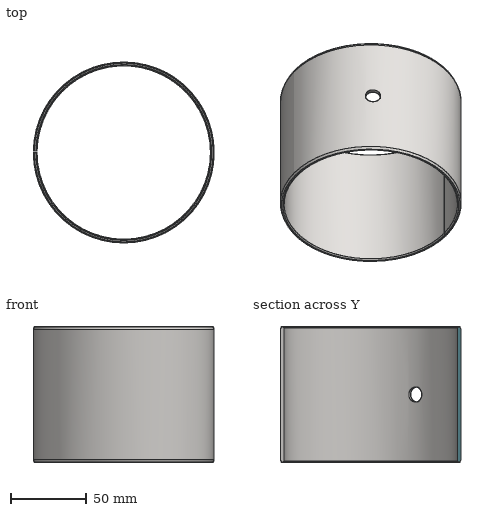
import cadquery as cq
import math

outer_diameter = 120.0
wall = 2.5
length = 90.0
outer_radius = outer_diameter / 2
inner_radius = outer_radius - wall

outer_chamfer_height = 1.8
outer_chamfer_depth = 0.7

inner_chamfer = 0.8

gap_width = 1.0

hole_diameter = 10.0
hole_angle = 59.0


def make_sleeve():
    """Revolve the chamfered wall section around Z."""
    top = length / 2
    section = [
        (inner_radius, -top + inner_chamfer),
        (inner_radius + inner_chamfer, -top),
        (outer_radius - outer_chamfer_depth, -top),
        (outer_radius, -top + outer_chamfer_height),
        (outer_radius, top - outer_chamfer_height),
        (outer_radius - outer_chamfer_depth, top),
        (inner_radius + inner_chamfer, top),
        (inner_radius, top - inner_chamfer),
    ]
    return cq.Workplane("XZ").polyline(section).close().revolve(360, (0, 0, 0), (0, 1, 0))


def make_gap():
    """Full-length slot through the wall on the -X side."""
    cutter = cq.Workplane("XY").box(outer_diameter, gap_width, 2 * length)
    return cutter.translate((-outer_radius, gap_width / 2, 0))


def make_oil_hole():
    """Radial cylinder through one side of the wall."""
    angle = math.radians(hole_angle)
    outward = cq.Vector(math.cos(angle), math.sin(angle), 0)
    return cq.Workplane(cq.Plane((0, 0, 0), normal=outward)).circle(hole_diameter / 2).extrude(outer_diameter)


result = make_sleeve().cut(make_gap()).cut(make_oil_hole())